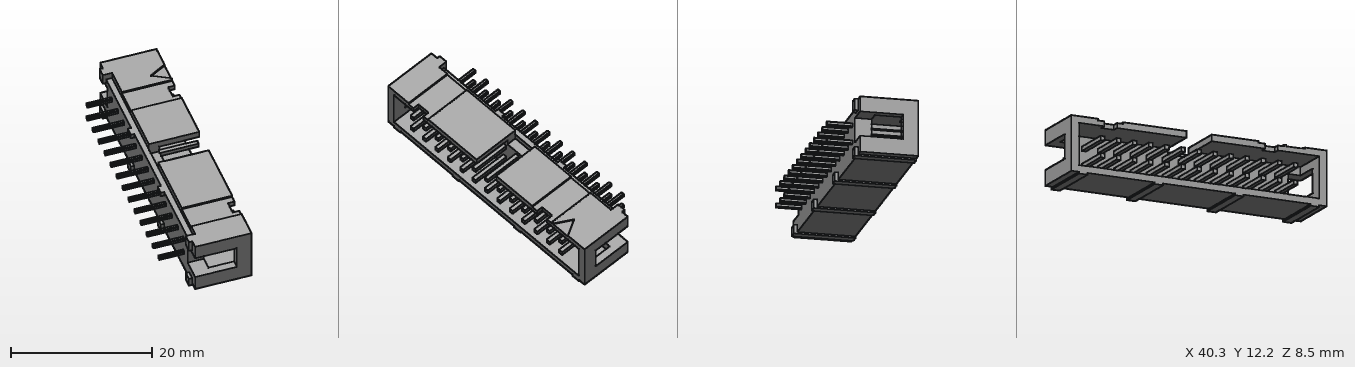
import cadquery as cq


PITCH = 2.54
PINS_PER_ROW = 13
CONTACT_WIDTH = 0.64
TAIL_WIDTH = 0.57
TAIL_CHAMFER = 0.1
TAIL_LENGTH = 3.7

LENGTH = 40.34
DEPTH = 8.5
TOP_Z = 4.07
TOTAL_HEIGHT = 8.5
STANDOFF_DROP = 0.25
BOTTOM_Z = TOP_Z - TOTAL_HEIGHT + STANDOFF_DROP
HALF_LENGTH = LENGTH / 2

END_WALL = 1.2
SIDE_WALL = 1.0
FLOOR_Y = 2.43
CAVITY_LENGTH = LENGTH - 2 * END_WALL

WINDOW_HEIGHT = 3.64
WINDOW_INSET = 3.15
WINDOW_BACK_WALL = 2.2

FOOT_WIDTH = 1.35
FOOT_LENGTH = 0.5
TOP_FOOT_LOWER_Z = TOP_Z - 1.7
BOTTOM_FOOT_HEIGHT = 1.3
OUTER_FOOT_X = HALF_LENGTH - END_WALL - FOOT_WIDTH / 2
INNER_FOOT_X = 2.5 * PITCH

LEDGE_DEPTH = 0.9
LEDGE_Z = TOP_Z - SIDE_WALL
LEDGE_LENGTH = 2 * (OUTER_FOOT_X - FOOT_WIDTH / 2)
KEYWAY_WIDTH = 4.0
KEYWAY_FLOOR_Z = LEDGE_Z - 0.9
RELIEF_CENTERS_X = (-4.5 * PITCH, 5.5 * PITCH)
RELIEF_WIDTH = 4.0
RELIEF_DEPTH = 0.25
NOTCH_WIDTH = 2.0
NOTCH_LENGTH = 1.0

ARROW_WIDTH = 3.0
ARROW_LENGTH = 2.65
ARROW_DEPTH = 0.2
PIN_1_X = -(PINS_PER_ROW - 1) / 2 * PITCH


def block(x_range, y_range, z_range):
    """Axis-aligned box between the given limits."""
    size = [high - low for low, high in (x_range, y_range, z_range)]
    corner = (x_range[0], y_range[0], z_range[0])
    return cq.Workplane("XY").box(*size, centered=False).translate(corner)


def span(center, width):
    """Lower and upper limit of a width placed about a center."""
    return (center - width / 2, center + width / 2)


def shell():
    """Housing block with the mating cavity and the two end windows."""
    body = block(span(0, LENGTH), (0, DEPTH), (BOTTOM_Z, TOP_Z))
    cavity_z = (BOTTOM_Z + SIDE_WALL, LEDGE_Z)
    body = body.cut(block(span(0, CAVITY_LENGTH), (FLOOR_Y, DEPTH), cavity_z))
    for side in (-1, 1):
        window_x = span(side * (HALF_LENGTH - WINDOW_INSET / 2), WINDOW_INSET)
        window_y = (0, DEPTH - WINDOW_BACK_WALL)
        body = body.cut(block(window_x, window_y, span(0, WINDOW_HEIGHT)))
    return body


def top_wall_cuts():
    """Front ledge, keyway, latch reliefs with their notches, and pin 1 arrow."""
    cuts = block(span(0, LEDGE_LENGTH), (0, LEDGE_DEPTH), (LEDGE_Z, TOP_Z))
    cuts = cuts.union(block(span(0, KEYWAY_WIDTH), (LEDGE_DEPTH, DEPTH), (KEYWAY_FLOOR_Z, TOP_Z)))
    for x in RELIEF_CENTERS_X:
        cuts = cuts.union(block(span(x, RELIEF_WIDTH), (0, DEPTH), (TOP_Z - RELIEF_DEPTH, TOP_Z)))
        cuts = cuts.union(block(span(x, NOTCH_WIDTH), (DEPTH - NOTCH_LENGTH, DEPTH), (LEDGE_Z, TOP_Z)))
    arrow_left, arrow_right = span(PIN_1_X, ARROW_WIDTH)
    arrow = (
        cq.Workplane("XY", origin=(0, 0, TOP_Z - ARROW_DEPTH))
        .polyline([(arrow_left, DEPTH), (arrow_right, DEPTH), (PIN_1_X, DEPTH - ARROW_LENGTH)])
        .close()
        .extrude(ARROW_DEPTH)
    )
    return cuts.union(arrow)


def feet():
    """Stand-off feet on the -Y face, the bottom ones continued as ribs under the housing."""
    foot_y = (-FOOT_LENGTH, 0)
    bottom_z = (BOTTOM_Z - STANDOFF_DROP, BOTTOM_Z - STANDOFF_DROP + BOTTOM_FOOT_HEIGHT)
    rib_z = (BOTTOM_Z - STANDOFF_DROP, BOTTOM_Z)
    all_feet = cq.Workplane("XY")
    for x, upper_z in (
        (-OUTER_FOOT_X, TOP_Z),
        (-INNER_FOOT_X, LEDGE_Z),
        (INNER_FOOT_X, LEDGE_Z),
        (OUTER_FOOT_X, TOP_Z),
    ):
        foot_x = span(x, FOOT_WIDTH)
        all_feet = all_feet.add(block(foot_x, foot_y, (TOP_FOOT_LOWER_Z, upper_z)))
        all_feet = all_feet.add(block(foot_x, foot_y, bottom_z))
        all_feet = all_feet.add(block(foot_x, (0, DEPTH), rib_z))
    return all_feet.combine()


def pins():
    """Two rows of pins: square contacts in the cavity, bevelled solder tails."""
    contact = block(span(0, CONTACT_WIDTH), (0, DEPTH), span(0, CONTACT_WIDTH))
    tail = block(span(0, TAIL_WIDTH), (-TAIL_LENGTH, 0), span(0, TAIL_WIDTH))
    pin = contact.union(tail.edges("|Y").chamfer(TAIL_CHAMFER))
    all_pins = cq.Workplane("XY")
    for index in range(PINS_PER_ROW):
        for z in (-PITCH / 2, PITCH / 2):
            all_pins = all_pins.add(pin.translate((PIN_1_X + index * PITCH, 0, z)))
    return all_pins.combine()


result = shell().cut(top_wall_cuts()).union(feet()).union(pins())